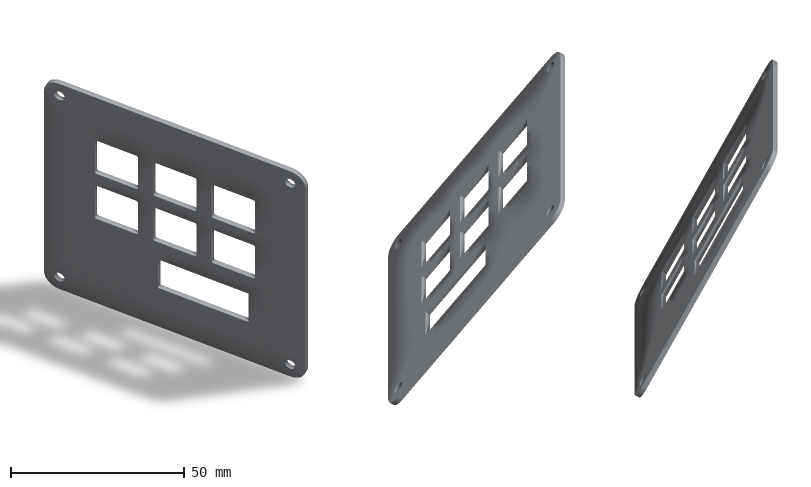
import cadquery as cq

plate_width = 85.0
plate_height = 86.5
plate_thickness = 1.5
corner_radius = 5.0

mount_hole_diameter = 3.4
mount_hole_inset = corner_radius

key_size = 14.0
key_corner_radius = 0.5
key_pitch = 19.0
key_columns = 3
key_rows = 2
key_grid_center_z = 8.75

window_width = 29.5
window_height = 12.0
window_center_x = 9.25
window_center_z = -21.0


def plate_sketch_plane():
    """XZ plane on the +Y face; its normal points toward -Y, through the plate."""
    return cq.Workplane("XZ", origin=(0, plate_thickness / 2, 0))


def make_plate():
    return (
        plate_sketch_plane()
        .rect(plate_width, plate_height)
        .extrude(plate_thickness)
        .edges("|Y")
        .fillet(corner_radius)
    )


def make_mount_holes():
    spacing_x = plate_width - 2 * mount_hole_inset
    spacing_z = plate_height - 2 * mount_hole_inset
    return (
        plate_sketch_plane()
        .rect(spacing_x, spacing_z, forConstruction=True)
        .vertices()
        .circle(mount_hole_diameter / 2)
        .extrude(plate_thickness)
    )


def make_key_cutouts():
    return (
        plate_sketch_plane()
        .center(0, key_grid_center_z)
        .rarray(key_pitch, key_pitch, key_columns, key_rows)
        .rect(key_size, key_size)
        .extrude(plate_thickness)
        .edges("|Y")
        .fillet(key_corner_radius)
    )


def make_window_cutout():
    return (
        plate_sketch_plane()
        .center(window_center_x, window_center_z)
        .rect(window_width, window_height)
        .extrude(plate_thickness)
    )


result = (
    make_plate()
    .cut(make_mount_holes())
    .cut(make_key_cutouts())
    .cut(make_window_cutout())
)